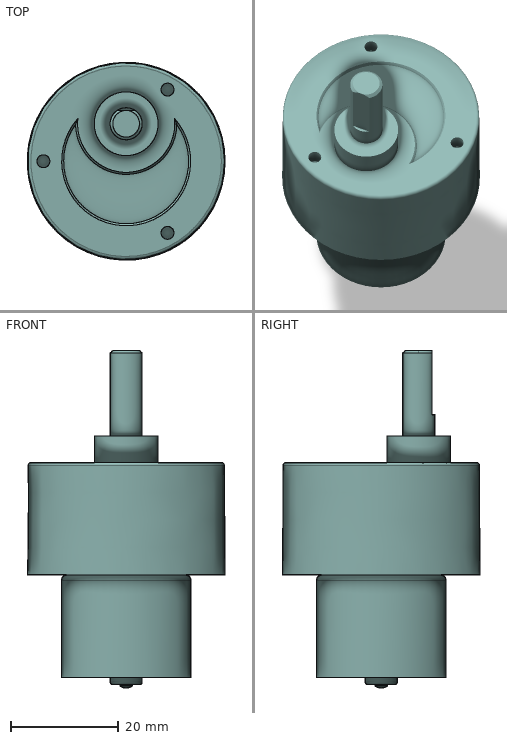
import cadquery as cq
import math

gearbox_diameter = 37.0
gearbox_wall_taper = 0.1
gearbox_height = 21.0
gearbox_edge_fillet = 0.55

motor_diameter = 24.2
motor_height = 19.2
motor_shoulder_fillet = 1.0

rear_boss_diameter = 6.0
rear_boss_height = 1.3
rear_boss_fillet = 0.5
tip_diameter = 2.4
tip_dome_height = 0.45

output_offset = 7.0
output_boss_diameter = 11.9
output_boss_height = 5.0
shaft_diameter = 6.0
shaft_chamfer = 0.5
shaft_flat_depth = 0.5
shaft_flat_length = 12.0

recess_diameter = 24.1
recess_depth = 0.5
recess_wall_run = 0.4
island_radius = 9.1

hole_diameter = 2.4
hole_depth = 3.15
hole_circle_radius = 15.45
hole_count = 3
first_hole_angle = 60

overall_height = 63.1
shaft_length = 15.95
boss_top = overall_height - shaft_length
gearbox_top = boss_top - output_boss_height
gearbox_bottom = gearbox_top - gearbox_height
motor_bottom = gearbox_bottom - motor_height
rear_boss_bottom = motor_bottom - rear_boss_height


def cylinder(diameter, bottom, top, y=0):
    """Vertical cylinder between two levels."""
    return cq.Workplane("XY", origin=(0, y, bottom)).circle(diameter / 2).extrude(top - bottom)


def cone(bottom_radius, top_radius, bottom, top, y=0):
    """Vertical truncated cone between two levels."""
    height = top - bottom
    return cq.Workplane(cq.Solid.makeCone(bottom_radius, top_radius, height, pnt=cq.Vector(0, y, bottom)))


def make_shaft():
    """Output shaft with a chamfered end and a flat on its +Y side."""
    shaft = cylinder(shaft_diameter, boss_top, overall_height, output_offset)
    shaft = shaft.faces(">Z").edges().chamfer(shaft_chamfer)
    flat_y = output_offset + shaft_diameter / 2 - shaft_flat_depth
    flat = (
        cq.Workplane("XY", origin=(0, flat_y, overall_height - shaft_flat_length))
        .rect(shaft_diameter, shaft_diameter, centered=(True, False))
        .extrude(shaft_flat_length)
    )
    return shaft.cut(flat)


def make_tip():
    """Rear shaft tip: a short cylinder closed below by a spherical dome, revolved about Z."""
    tip_radius = tip_diameter / 2
    dome_radius = (tip_radius**2 + tip_dome_height**2) / (2 * tip_dome_height)
    half_angle = math.asin(tip_radius / dome_radius) / 2
    dome_middle = (dome_radius * math.sin(half_angle), dome_radius * (1 - math.cos(half_angle)))
    return (
        cq.Workplane("XZ")
        .moveTo(0, 0)
        .threePointArc(dome_middle, (tip_radius, tip_dome_height))
        .lineTo(tip_radius, rear_boss_bottom)
        .lineTo(0, rear_boss_bottom)
        .close()
        .revolve(360, (0, 0, 0), (0, 1, 0))
    )


def make_recess():
    """Crescent volume: a tapered disc less the tapered island around the output boss."""
    floor = gearbox_top - recess_depth
    recess_radius = recess_diameter / 2
    disc = cone(recess_radius - recess_wall_run, recess_radius, floor, gearbox_top)
    island = cone(island_radius + recess_wall_run, island_radius, floor, gearbox_top, output_offset)
    return disc.cut(island)


def make_holes():
    """Blind mounting holes in the gearbox face."""
    return (
        cq.Workplane("XY", origin=(0, 0, gearbox_top))
        .polarArray(hole_circle_radius, first_hole_angle, 360, hole_count)
        .circle(hole_diameter / 2)
        .extrude(-hole_depth)
    )


gearbox_radius = gearbox_diameter / 2
gearbox = cone(gearbox_radius, gearbox_radius - gearbox_wall_taper, gearbox_bottom, gearbox_top)
gearbox = gearbox.faces(">Z").edges().fillet(gearbox_edge_fillet)
gearbox = gearbox.cut(make_recess()).cut(make_holes())

motor = cylinder(motor_diameter, motor_bottom, gearbox_bottom)
motor = motor.faces(">Z").edges().fillet(motor_shoulder_fillet)

rear_boss = cylinder(rear_boss_diameter, rear_boss_bottom, motor_bottom)
rear_boss = rear_boss.faces("<Z").edges().fillet(rear_boss_fillet)

tip = make_tip()

output_boss = cylinder(output_boss_diameter, gearbox_top, boss_top, output_offset)

result = gearbox.union(motor).union(rear_boss).union(tip).union(output_boss).union(make_shaft())